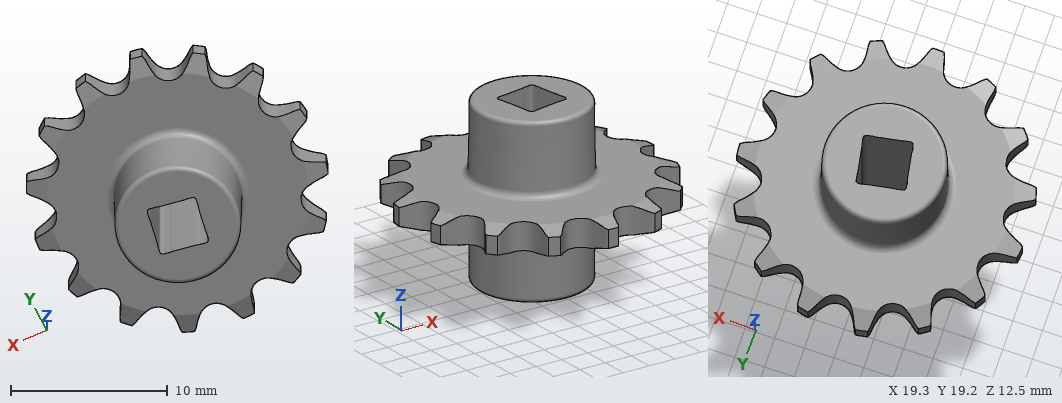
import cadquery as cq
import math

tooth_count = 15
tip_diameter = 19.33
plate_thickness = 2.0
tooth_phase = 4.0
bevel_start_radius = 8.35
bevel_angle = 15.0

root_radius = 7.86
seat_radius = 1.1
seat_end_angle = 53.0
hollow_radius = 4.24
flat_angle = 64.5
flat_length = 0.15
crown_radius = 1.46
crown_end_angle = 45.0
cutter_clearance = 0.96

hub_height = 12.5
hub_base_radius = 4.09
hub_end_radius = 4.0
hub_base_fillet = 0.5
hub_end_fillet = 0.29

wall_count = 4
bore_side = 3.2
relief_depth = 0.02
relief_length = 0.67
step_width = 0.08
bore_corner_radius = 0.23
bore_turn = 10.0

gap_pitch = 360 / tooth_count
gap_phase = tooth_phase + gap_pitch / 2
tip_radius = tip_diameter / 2
half_plate = plate_thickness / 2
half_hub = hub_height / 2


def circle_point(center, radius, angle):
    """Point on a circle whose angle is counted from the downward direction."""
    a = math.radians(angle)
    return (center[0] + radius * math.sin(a), center[1] - radius * math.cos(a))


def mirrored(point):
    return (-point[0], point[1])


def gap_cutter():
    """Prism of one tooth gap, placed on the +Y axis."""
    seat_center = (0, root_radius + seat_radius)
    seat_bottom = (0, root_radius)
    seat_end = circle_point(seat_center, seat_radius, seat_end_angle)

    hollow_center = circle_point(seat_center, seat_radius - hollow_radius, seat_end_angle)
    hollow_mid = circle_point(hollow_center, hollow_radius, (seat_end_angle + flat_angle) / 2)
    flat_start = circle_point(hollow_center, hollow_radius, flat_angle)

    slope = math.radians(flat_angle)
    flat_end = (
        flat_start[0] + flat_length * math.cos(slope),
        flat_start[1] + flat_length * math.sin(slope),
    )

    crown_center = circle_point(flat_end, crown_radius, flat_angle)
    crown_mid = circle_point(crown_center, -crown_radius, (flat_angle + crown_end_angle) / 2)
    crown_end = circle_point(crown_center, -crown_radius, crown_end_angle)
    outer_corner = (crown_end[0], tip_radius + cutter_clearance)

    return (
        cq.Workplane("XY", origin=(0, 0, -half_plate))
        .moveTo(*outer_corner)
        .lineTo(*crown_end)
        .threePointArc(crown_mid, flat_end)
        .lineTo(*flat_start)
        .threePointArc(hollow_mid, seat_end)
        .threePointArc(seat_bottom, mirrored(seat_end))
        .threePointArc(mirrored(hollow_mid), mirrored(flat_start))
        .lineTo(*mirrored(flat_end))
        .threePointArc(mirrored(crown_mid), mirrored(crown_end))
        .lineTo(*mirrored(outer_corner))
        .close()
        .extrude(plate_thickness)
    )


def hub_and_disc():
    """Revolved blank: bevelled disc with a tapered hub on both faces."""
    bevel_drop = (tip_radius - bevel_start_radius) * math.tan(math.radians(bevel_angle))
    half_tip = half_plate - bevel_drop
    disc = (
        cq.Workplane("XZ")
        .moveTo(0, -half_plate)
        .lineTo(bevel_start_radius, -half_plate)
        .lineTo(tip_radius, -half_tip)
        .lineTo(tip_radius, half_tip)
        .lineTo(bevel_start_radius, half_plate)
        .lineTo(0, half_plate)
        .close()
        .revolve()
    )
    hub = (
        cq.Workplane("XZ")
        .moveTo(0, -half_hub)
        .lineTo(hub_end_radius, -half_hub)
        .lineTo(hub_base_radius, -half_plate)
        .lineTo(hub_base_radius, half_plate)
        .lineTo(hub_end_radius, half_hub)
        .lineTo(0, half_hub)
        .close()
        .revolve()
    )
    blank = disc.union(hub)
    hub_bases = cq.selectors.RadiusNthSelector(1)
    blank = blank.edges("%CIRCLE").edges(hub_bases).fillet(hub_base_fillet)
    return blank.faces("<Z or >Z").edges().fillet(hub_end_fillet)


def square_bore():
    half_side = bore_side / 2
    half_relief = half_side + relief_depth
    relief_end = half_relief - relief_length
    wall_end = relief_end - step_width
    bottom_wall = [
        (-half_relief, -half_relief),
        (-relief_end, -half_relief),
        (-wall_end, -half_side),
        (wall_end, -half_side),
        (relief_end, -half_relief),
    ]
    outline = []
    wall = bottom_wall
    for _ in range(wall_count):
        outline += wall
        wall = [(-y, x) for x, y in wall]

    base = cq.Workplane("XY", origin=(0, 0, -half_hub))
    stepped = base.polyline(outline).close().extrude(hub_height)
    rounded = (
        base.rect(2 * half_relief, 2 * half_relief)
        .extrude(hub_height)
        .edges("|Z")
        .fillet(bore_corner_radius)
    )
    return stepped.intersect(rounded).rotate((0, 0, 0), (0, 0, 1), bore_turn)


result = hub_and_disc()
cutter = gap_cutter()
for index in range(tooth_count):
    turn = gap_phase + index * gap_pitch - 90
    result = result.cut(cutter.rotate((0, 0, 0), (0, 0, 1), turn))
result = result.cut(square_bore())